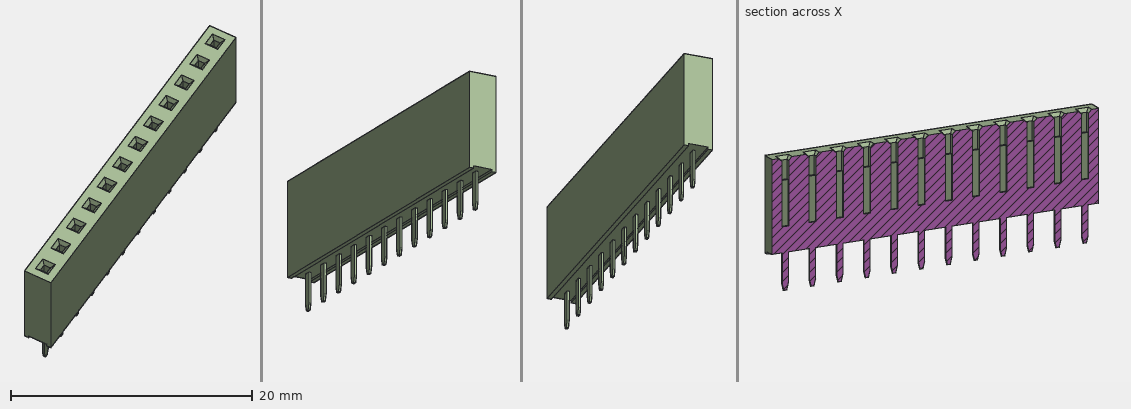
import cadquery as cq

pin_count = 12
pitch = 2.54

housing_width = 2.54
housing_length = pin_count * pitch
housing_height = 8.5
foot_width = 0.4
foot_height = 0.2

pin_width = 0.6
pin_thickness = 0.2
pin_reach = 3.1
pin_tip_width = 0.3
pin_taper_length = 0.6

funnel_mouth = 1.2
socket_size = funnel_mouth / 2
funnel_depth = (funnel_mouth - socket_size) / 2
contact_depth = 2.0
contact_gap = pin_thickness
gap_depth = 6.0

pin_positions = [(i - (pin_count - 1) / 2) * pitch for i in range(pin_count)]


def make_housing():
    """Rectangular block with a full-length channel that leaves two feet."""
    block = cq.Workplane("XY").box(
        housing_width, housing_length, housing_height, centered=(True, True, False)
    )
    channel = cq.Workplane("XY").box(
        housing_width - 2 * foot_width, housing_length, foot_height, centered=(True, True, False)
    )
    return block.cut(channel)


def make_opening(y):
    """Square lead-in funnel, straight socket and narrow gap between the contact tines."""
    funnel = (
        cq.Workplane("XY", origin=(0, y, housing_height))
        .rect(funnel_mouth, funnel_mouth)
        .workplane(offset=-funnel_depth)
        .rect(socket_size, socket_size)
        .loft(ruled=True)
    )
    socket = (
        cq.Workplane("XY", origin=(0, y, housing_height - contact_depth))
        .rect(socket_size, socket_size)
        .extrude(contact_depth - funnel_depth)
    )
    gap = (
        cq.Workplane("XY", origin=(0, y, housing_height - gap_depth))
        .rect(contact_gap, socket_size)
        .extrude(gap_depth - contact_depth)
    )
    return funnel.union(socket).union(gap)


def make_pin(y):
    """Flat pin from the channel ceiling downward, narrowing along Y at its tip."""
    half_width = pin_width / 2
    half_tip = pin_tip_width / 2
    taper_start = pin_taper_length - pin_reach
    return (
        cq.Workplane("YZ", origin=(0, y, 0))
        .moveTo(-half_width, foot_height)
        .lineTo(-half_width, taper_start)
        .lineTo(-half_tip, -pin_reach)
        .lineTo(half_tip, -pin_reach)
        .lineTo(half_width, taper_start)
        .lineTo(half_width, foot_height)
        .close()
        .extrude(pin_thickness / 2, both=True)
    )


result = make_housing()
for pin_y in pin_positions:
    result = result.cut(make_opening(pin_y)).union(make_pin(pin_y))